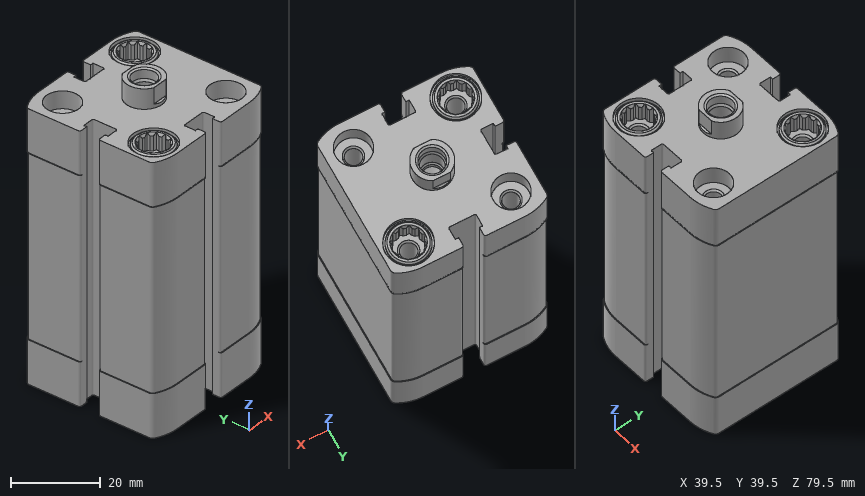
import cadquery as cq
import math

total_height = 79.5
width = 39.5
rod_projection = 5.5
body_height = total_height - rod_projection

cap_height = 12.0
tube_inset = 0.2
corner_arc_radius = 12.5
corner_edge_radius = 1.3
screw_offset = 12.95

slot_mouth_width = 5.25
slot_pocket_width = 6.9
slot_depth = 5.7
slot_lip_thickness = 2.5
slot_lip_radius = 0.55
slot_corner_radius = 0.4
slot_directions = (0, 90, 180)

through_hole_diameter = 4.1
through_hole_mouth_diameter = 5.0
recess_depth = 4.8
counterbore_diameter = 9.0

head_groove_diameter = 11.5
head_diameter = 10.5
head_top_diameter = 9.6
head_groove_depth = 0.95
spline_count = 12
spline_tip_diameter = 7.5
spline_root_diameter = 8.4
spline_tip_width = 0.7
socket_mouth_diameter = 8.35
socket_chamfer_depth = 0.8

rod_diameter = 10.0
rod_insertion = cap_height
rod_length = rod_projection + rod_insertion
flats_width = 9.0
flats_height = 4.4
flats_end_angle = 30.0
rod_mouth_diameter = 7.5
rod_mouth_depth = 0.3
rod_bore_diameter = 6.4
rod_bore_depth = 2.7
rod_step_depth = 0.6
rod_thread_diameter = 5.7
rod_thread_depth = 7.95
rod_drill_diameter = 4.9
rod_drill_depth = 9.55
drill_point_angle = 118.0


def cone(z_top, top_diameter, bottom_diameter, depth):
    """Cone frustum on the Z axis, running down from z_top."""
    return cq.Workplane(cq.Solid.makeCone(
        bottom_diameter / 2, top_diameter / 2, depth, cq.Vector(0, 0, z_top - depth)))


def cylinder(z_top, diameter, depth):
    """Cylinder on the Z axis, running down from z_top."""
    return cq.Workplane("XY", origin=(0, 0, z_top - depth)).circle(diameter / 2).extrude(depth)


def chamfer_depth(large_diameter, small_diameter):
    """Depth of a 45 degree chamfer between two diameters."""
    return (large_diameter - small_diameter) / 2


def slot_cutter(face, height):
    """T-slot opening at y = face, with rounded lips at its mouth."""
    mouth = slot_mouth_width / 2
    pocket = slot_pocket_width / 2
    floor = width / 2 - slot_depth
    shoulder = width / 2 - slot_lip_thickness
    lip_blend = slot_lip_radius * (1 - math.sqrt(0.5))

    neck = (
        cq.Workplane("XY")
        .moveTo(-mouth, floor)
        .lineTo(-mouth, face - slot_lip_radius)
        .threePointArc((-mouth - lip_blend, face - lip_blend), (-mouth - slot_lip_radius, face))
        .lineTo(mouth + slot_lip_radius, face)
        .threePointArc((mouth + lip_blend, face - lip_blend), (mouth, face - slot_lip_radius))
        .lineTo(mouth, floor)
        .close()
        .extrude(height)
    )
    undercut = (
        cq.Workplane("XY")
        .center(0, (floor + shoulder) / 2)
        .rect(2 * pocket, shoulder - floor)
        .extrude(height)
        .edges("|Z and <Y")
        .fillet(slot_corner_radius)
    )
    return neck.union(undercut)


def profile_section(z_bottom, height, inset):
    """Length of the slotted profile, its outer faces moved in by inset."""
    side = width - 2 * inset
    arc_radius = corner_arc_radius - inset
    rounded = (
        cq.Workplane("XY")
        .rect(2 * (screw_offset + arc_radius), side)
        .extrude(height)
        .edges("|Z")
        .fillet(arc_radius)
    )
    section = cq.Workplane("XY").rect(side, side).extrude(height).intersect(rounded)
    section = section.edges("|Z and (<X or >X)").fillet(corner_edge_radius - inset)
    cutter = slot_cutter(side / 2, height)
    for angle in slot_directions:
        section = section.cut(cutter.rotate((0, 0, 0), (0, 0, 1), angle))
    return section.translate((0, 0, z_bottom))


def through_hole_cutter():
    """Hole through the whole housing, chamfered where it meets the recess floor."""
    recess_floor = body_height - recess_depth
    mouth = cone(
        recess_floor, through_hole_mouth_diameter, through_hole_diameter,
        chamfer_depth(through_hole_mouth_diameter, through_hole_diameter))
    return cylinder(recess_floor, through_hole_diameter, recess_floor).union(mouth)


def counterbore_cutter():
    """Plain counterbored corner hole."""
    return through_hole_cutter().union(cylinder(body_height, counterbore_diameter, recess_depth))


def spline_socket_cutter():
    """Socket with pointed grooves between narrow flat-tipped teeth."""
    tip_radius = spline_tip_diameter / 2
    root_radius = spline_root_diameter / 2
    pitch = 2 * math.pi / spline_count
    tip_half_angle = math.asin(spline_tip_width / spline_tip_diameter)
    points = []
    for i in range(spline_count):
        groove = i * pitch
        tooth_start = groove + pitch / 2 - tip_half_angle
        tooth_end = groove + pitch / 2 + tip_half_angle
        points.append((root_radius * math.cos(groove), root_radius * math.sin(groove)))
        points.append((tip_radius * math.cos(tooth_start), tip_radius * math.sin(tooth_start)))
        points.append((tip_radius * math.cos(tooth_end), tip_radius * math.sin(tooth_end)))
    socket = (
        cq.Workplane("XY", origin=(0, 0, body_height - recess_depth))
        .polyline(points)
        .close()
        .extrude(recess_depth)
    )
    mouth = cone(body_height, socket_mouth_diameter, spline_tip_diameter, socket_chamfer_depth)
    return socket.union(mouth)


def screw_head_cutter():
    """Groove around a flush, chamfered screw head, with its socket and through hole."""
    head_chamfer = chamfer_depth(head_diameter, head_top_diameter)
    head = cylinder(body_height, head_diameter, head_groove_depth).faces(">Z").chamfer(head_chamfer)
    groove = cylinder(body_height, head_groove_diameter, head_groove_depth).cut(head)
    return groove.union(spline_socket_cutter()).union(through_hole_cutter())


def make_housing():
    """Cap, tube and cap in one piece, with the rod seat and the corner holes."""
    tube_height = body_height - 2 * cap_height
    housing = profile_section(0, cap_height, 0)
    housing = housing.union(profile_section(cap_height, tube_height, tube_inset))
    housing = housing.union(profile_section(cap_height + tube_height, cap_height, 0))
    housing = housing.cut(cylinder(body_height, rod_diameter, rod_insertion))

    screw_head = screw_head_cutter()
    counterbore = counterbore_cutter()
    for side in (-1, 1):
        x = side * screw_offset
        housing = housing.cut(screw_head.translate((x, x, 0)))
        housing = housing.cut(counterbore.translate((x, -x, 0)))
    return housing


def flat_cutter():
    """Wrench flat on the +Y side of the rod, its lower end sloping outward and down."""
    flat = flats_width / 2
    cut_depth = rod_diameter / 2 - flat
    end_drop = cut_depth * math.tan(math.radians(flats_end_angle))
    return (
        cq.Workplane("YZ", origin=(-rod_diameter / 2, 0, 0))
        .moveTo(flat, total_height)
        .lineTo(flat, total_height - flats_height)
        .lineTo(flat + cut_depth, total_height - flats_height - end_drop)
        .lineTo(flat + cut_depth, total_height)
        .close()
        .extrude(rod_diameter)
    )


def rod_bore_cutter():
    """Countersunk bore narrowing to a threaded hole, then to a drilled end with a conical point."""
    mouth = cone(total_height, rod_mouth_diameter, rod_bore_diameter, rod_mouth_depth)
    bore = cylinder(total_height, rod_bore_diameter, rod_bore_depth)
    step = cone(
        total_height - rod_bore_depth, rod_bore_diameter, rod_thread_diameter, rod_step_depth)
    thread = cylinder(total_height, rod_thread_diameter, rod_thread_depth)
    thread_end = cone(
        total_height - rod_thread_depth, rod_thread_diameter, rod_drill_diameter,
        chamfer_depth(rod_thread_diameter, rod_drill_diameter))
    drill = cylinder(total_height, rod_drill_diameter, rod_drill_depth)
    point_depth = rod_drill_diameter / 2 / math.tan(math.radians(drill_point_angle / 2))
    drill_point = cone(total_height - rod_drill_depth, rod_drill_diameter, 0, point_depth)
    cutter = mouth
    for stage in (bore, step, thread, thread_end, drill, drill_point):
        cutter = cutter.union(stage)
    return cutter


def make_rod():
    """Piston rod seated in the upper cap, with two wrench flats and a threaded bore."""
    rod = cylinder(total_height, rod_diameter, rod_length)
    flat = flat_cutter()
    for angle in (0, 180):
        rod = rod.cut(flat.rotate((0, 0, 0), (0, 0, 1), angle))
    return rod.cut(rod_bore_cutter())


housing = make_housing()
rod = make_rod()

result = cq.Compound.makeCompound([housing.val(), rod.val()])